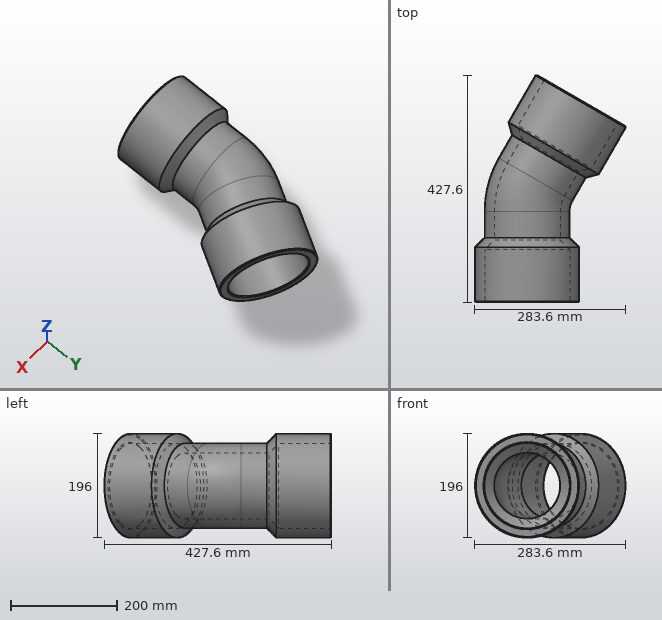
import cadquery as cq
import math

bend_angle = 30.0
bend_radius = 121.0
leg_length = 171.0

pipe_diameter = 160.0
pipe_bore = 124.0
socket_diameter = 196.0
socket_bore = 160.0

socket_length = 103.8
outer_cone_length = 17.5
socket_depth = 100.0
inner_cone_length = 17.5
mouth_chamfer = 2.0
bore_chamfer = 2.0

pipe_radius = pipe_diameter / 2
pipe_bore_radius = pipe_bore / 2
socket_radius = socket_diameter / 2
socket_bore_radius = socket_bore / 2


def make_leg():
    """Socket, cone and straight pipe revolved about Y, with the mouth at Y = 0."""
    profile = [
        (socket_bore_radius + bore_chamfer, 0),
        (socket_radius - mouth_chamfer, 0),
        (socket_radius, mouth_chamfer),
        (socket_radius, socket_length),
        (pipe_radius, socket_length + outer_cone_length),
        (pipe_radius, leg_length),
        (pipe_bore_radius, leg_length),
        (pipe_bore_radius, socket_depth + inner_cone_length),
        (socket_bore_radius, socket_depth),
        (socket_bore_radius, bore_chamfer),
    ]
    return cq.Workplane("XY").polyline(profile).close().revolve(360, (0, 0), (0, 1))


def make_bend():
    """Pipe ring swept from the end of the first leg towards +X."""
    ring = cq.Workplane("XZ", origin=(0, leg_length, 0)).circle(pipe_radius).circle(pipe_bore_radius)
    return ring.revolve(bend_angle, (bend_radius, 0), (bend_radius, -1))


half_angle = math.radians(bend_angle / 2)
bend_center = (bend_radius, leg_length, 0)
mirror_normal = cq.Vector(math.sin(half_angle), math.cos(half_angle), 0)

first_leg = make_leg()
second_leg = cq.Workplane(first_leg.val().mirror(mirror_normal, bend_center))

result = first_leg.union(make_bend()).union(second_leg)